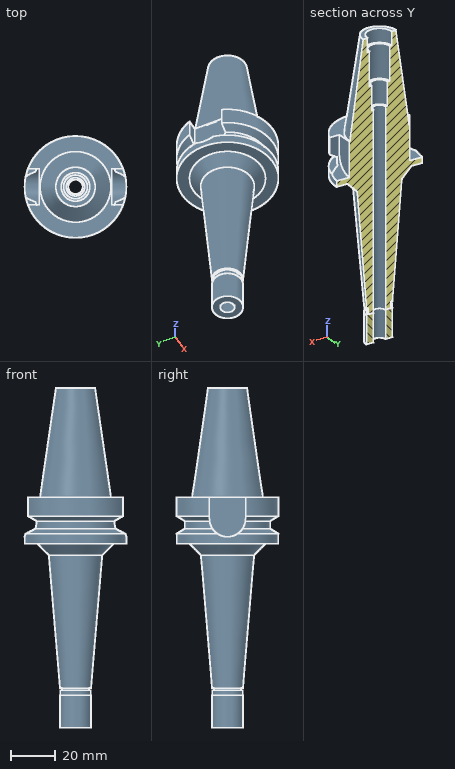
import cadquery as cq

TOTAL_HEIGHT = 153.4
GAUGE_HEIGHT = 105.0
FLANGE_TOP = 104.2
FLANGE_BOTTOM = 83.0
SHANK_TOP = 78.0
SHANK_BOTTOM = 18.0
NUT_TOP = 17.0
NUT_BAND_HEIGHT = 14.7

FLANGE_RADIUS = 23.0
GROOVE_RADIUS = 19.3
GROOVE_MIDDLE = 91.6
GROOVE_FLOOR_WIDTH = 3.4
GROOVE_MOUTH_WIDTH = 8.0

TAPER_LARGE_RADIUS = 16.0
TAPER_RATIO = 7 / 24
TAPER_SMALL_RADIUS = TAPER_LARGE_RADIUS - (TOTAL_HEIGHT - GAUGE_HEIGHT) * TAPER_RATIO / 2

SHANK_LARGE_RADIUS = 12.1
SHANK_SMALL_RADIUS = 7.0
FLANGE_CONE_RADIUS = SHANK_LARGE_RADIUS + (FLANGE_BOTTOM - SHANK_TOP)
NECK_RADIUS = 6.1

NUT_RADIUS = 7.0
NUT_BAND_STEP = 0.08
NUT_BAND_RADIUS = NUT_RADIUS - NUT_BAND_STEP

THROUGH_BORE_RADIUS = 3.2
BORE_STEPS = [(6.5, 7.0), (5.4, 24.5), (4.1, 36.8)]

SLOT_WIDTH = 16.3
SLOT_FLOOR_DISTANCE = 16.3
SLOT_BOTTOM = 86.2


def revolve_outline(points):
    """Solid of revolution about Z from (radius, height) points."""
    return cq.Workplane("XZ").polyline(points).close().revolve(360, (0, 0, 0), (0, 1, 0))


def make_bore():
    bore = cq.Workplane("XY").circle(THROUGH_BORE_RADIUS).extrude(TOTAL_HEIGHT)
    for radius, depth in BORE_STEPS:
        step = cq.Workplane("XY").workplane(offset=TOTAL_HEIGHT - depth).circle(radius).extrude(depth)
        bore = bore.union(step)
    return bore


def make_drive_slot(side):
    """Round-bottomed slot, open at the flange top; side is +1 or -1 along X."""
    slot_radius = SLOT_WIDTH / 2
    return (
        cq.Workplane("YZ")
        .workplane(offset=side * SLOT_FLOOR_DISTANCE)
        .moveTo(-slot_radius, FLANGE_TOP)
        .lineTo(-slot_radius, SLOT_BOTTOM + slot_radius)
        .threePointArc((0, SLOT_BOTTOM), (slot_radius, SLOT_BOTTOM + slot_radius))
        .lineTo(slot_radius, FLANGE_TOP)
        .close()
        .extrude(side * FLANGE_RADIUS)
    )


def make_holder():
    half_floor = GROOVE_FLOOR_WIDTH / 2
    half_mouth = GROOVE_MOUTH_WIDTH / 2
    holder = revolve_outline([
        (0, NUT_BAND_HEIGHT),
        (NECK_RADIUS, NUT_BAND_HEIGHT),
        (NECK_RADIUS, SHANK_BOTTOM),
        (SHANK_SMALL_RADIUS, SHANK_BOTTOM),
        (SHANK_LARGE_RADIUS, SHANK_TOP),
        (FLANGE_CONE_RADIUS, FLANGE_BOTTOM),
        (FLANGE_RADIUS, FLANGE_BOTTOM),
        (FLANGE_RADIUS, GROOVE_MIDDLE - half_mouth),
        (GROOVE_RADIUS, GROOVE_MIDDLE - half_floor),
        (GROOVE_RADIUS, GROOVE_MIDDLE + half_floor),
        (FLANGE_RADIUS, GROOVE_MIDDLE + half_mouth),
        (FLANGE_RADIUS, FLANGE_TOP),
        (TAPER_LARGE_RADIUS, FLANGE_TOP),
        (TAPER_LARGE_RADIUS, GAUGE_HEIGHT),
        (TAPER_SMALL_RADIUS, TOTAL_HEIGHT),
        (0, TOTAL_HEIGHT),
    ])
    for side in (-1, 1):
        holder = holder.cut(make_drive_slot(side))
    return holder.cut(make_bore())


def make_nut():
    return revolve_outline([
        (THROUGH_BORE_RADIUS, 0),
        (NUT_RADIUS, 0),
        (NUT_RADIUS, NUT_BAND_HEIGHT),
        (NUT_BAND_RADIUS, NUT_BAND_HEIGHT),
        (NUT_BAND_RADIUS, NUT_TOP),
        (NECK_RADIUS, NUT_TOP),
        (NECK_RADIUS, NUT_BAND_HEIGHT),
        (THROUGH_BORE_RADIUS, NUT_BAND_HEIGHT),
    ])


holder = make_holder()
nut = make_nut()

result = cq.Compound.makeCompound([holder.val(), nut.val()])